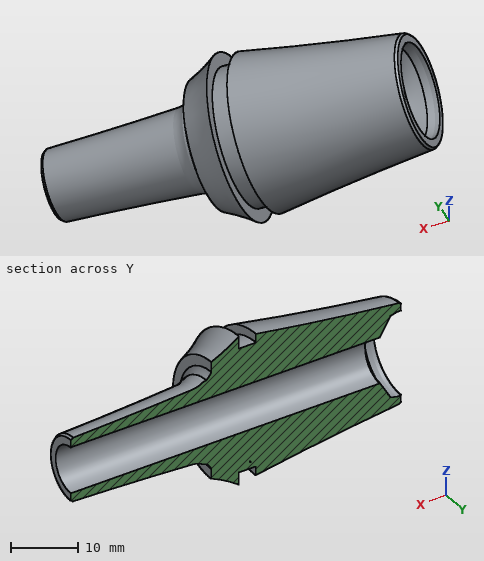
import cadquery as cq

total_length = 59.0
rim_length = 0.4
body_end = 25.95
flange_start = 28.95
flange_end = 33.9
neck_arc_end = 34.8
neck_step_end = 35.35
shank_start = 37.1

body_front_radius = 8.95
body_face_radius = 8.7
body_rear_radius = 12.5
groove_radius = 11.0
flange_radius = 13.13
flange_rear_radius = 10.3
neck_radius = 8.55
neck_arc_radius = 7.45
neck_step_radius = 7.3
shank_radius = 6.65
shank_tip_radius = 5.65
shank_face_radius = 5.35

body_hollow = 0.2
flange_hollow = 0.2
neck_hollow = 0.1
shank_hollow = 0.09

mouth_radius = 7.45
mouth_depth = 0.75
seat_radius = 7.15
seat_depth = 1.9
bore_radius = 4.0
funnel_end = 3.8


def hollow_line(profile, start, end, hollow):
    """Continue the profile from start to end with an arc that dips towards the axis."""
    middle = ((start[0] + end[0]) / 2, (start[1] + end[1]) / 2 - hollow)
    return profile.threePointArc(middle, end)


def revolve_about_x(profile):
    return profile.close().revolve(360, (0, 0, 0), (1, 0, 0))


def make_outside():
    body_front = (rim_length, body_front_radius)
    body_rear = (body_end, body_rear_radius)
    flange_front = (flange_start, flange_radius)
    flange_rear = (flange_end, flange_rear_radius)
    neck_front = (flange_end, neck_radius)
    neck_middle = (neck_arc_end, neck_arc_radius)
    neck_rear = (neck_step_end, neck_step_radius)
    shank_front = (shank_start, shank_radius)
    shank_rear = (total_length - rim_length, shank_tip_radius)

    profile = cq.Workplane("XY").lineTo(0, body_face_radius).lineTo(*body_front)
    profile = hollow_line(profile, body_front, body_rear, body_hollow)
    profile = profile.lineTo(body_end, groove_radius).lineTo(flange_start, groove_radius)
    profile = profile.lineTo(*flange_front)
    profile = hollow_line(profile, flange_front, flange_rear, flange_hollow)
    profile = profile.lineTo(*neck_front)
    profile = hollow_line(profile, neck_front, neck_middle, neck_hollow)
    profile = profile.lineTo(*neck_rear)
    profile = hollow_line(profile, neck_rear, shank_front, neck_hollow)
    profile = hollow_line(profile, shank_front, shank_rear, shank_hollow)
    profile = profile.lineTo(total_length, shank_face_radius).lineTo(total_length, 0)
    return revolve_about_x(profile)


def make_bore():
    profile = (
        cq.Workplane("XY")
        .lineTo(0, mouth_radius)
        .lineTo(mouth_depth, mouth_radius)
        .lineTo(seat_depth, seat_radius)
        .lineTo(funnel_end, bore_radius)
        .lineTo(total_length, bore_radius)
        .lineTo(total_length, 0)
    )
    return revolve_about_x(profile)


result = make_outside().cut(make_bore())